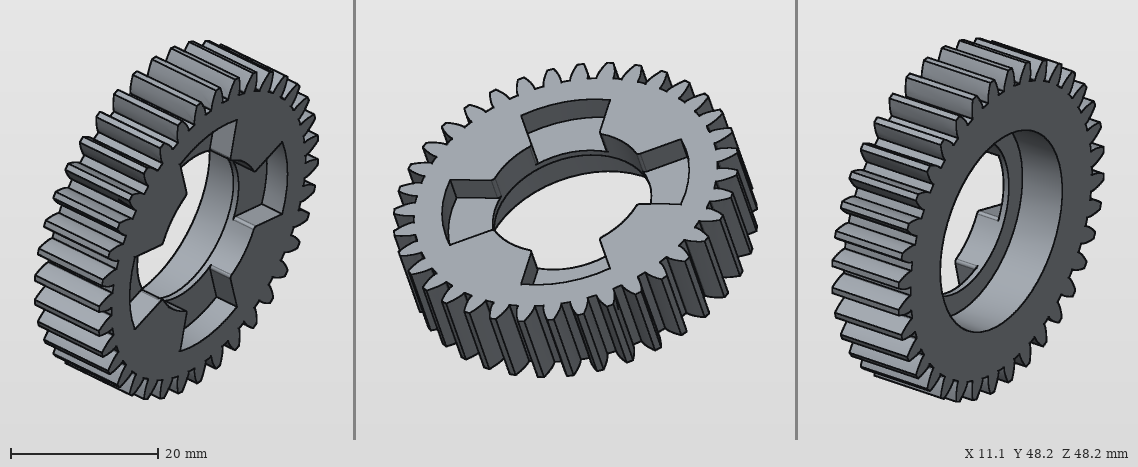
import cadquery as cq
import math

width = 11.1
tooth_count = 36
pitch_radius = 22.85
outside_width = 48.15
root_radius = 21.3
pressure_angle = math.radians(20)
tip_half_angle = math.radians(1.1)
flank_point_count = 6

bore_radius = 11.1
recess_radius = 14.3
recess_depth = 6.65
web_thickness = 0.9

window_count = 4
window_mouth_width = 9.45
window_taper = math.radians(14)
window_outer_radius = 17.35
lug_edge_radius = 0.5

base_radius = pitch_radius * math.cos(pressure_angle)
tooth_pitch = 2 * math.pi / tooth_count
tip_radius = outside_width / 2 / math.cos(tooth_pitch / 2 - tip_half_angle)
left_face = -width / 2
window_floor = left_face + recess_depth + web_thickness
window_depth = width / 2 - window_floor
tolerance = 0.005


def disc(radius, start, length):
    return cq.Workplane("YZ", origin=(start, 0, 0)).circle(radius).extrude(length)


def polar(radius, angle):
    return (radius * math.cos(angle), radius * math.sin(angle))


def involute(radius):
    """Angle an involute has swept when it reaches the radius; zero inside the base circle."""
    slope = math.acos(min(1.0, base_radius / radius))
    return math.tan(slope) - slope


def tooth_half_angle(radius):
    """Half of the angle a tooth spans at the radius; flanks are radial inside the base circle."""
    return tip_half_angle + involute(tip_radius) - involute(radius)


def make_gear_blank():
    flank_step = (tip_radius - base_radius) / (flank_point_count - 1)
    flank_radii = [base_radius + i * flank_step for i in range(flank_point_count)]
    root_half_angle = tooth_half_angle(root_radius)

    outline = cq.Workplane("YZ", origin=(left_face, 0, 0))
    outline = outline.moveTo(*polar(root_radius, tooth_pitch / 2 - root_half_angle))
    for tooth in range(tooth_count):
        middle = (tooth + 0.5) * tooth_pitch
        rising = [polar(r, middle - tooth_half_angle(r)) for r in flank_radii]
        falling = [polar(r, middle + tooth_half_angle(r)) for r in reversed(flank_radii)]
        gap_middle = polar(root_radius, middle + tooth_pitch / 2)
        next_tooth = polar(root_radius, middle + tooth_pitch - root_half_angle)
        outline = (
            outline.lineTo(*rising[0])
            .spline(rising[1:], includeCurrent=True)
            .threePointArc(polar(tip_radius, middle), falling[0])
            .spline(falling[1:], includeCurrent=True)
            .lineTo(*polar(root_radius, middle + root_half_angle))
            .threePointArc(gap_middle, next_tooth)
        )
    return outline.close().extrude(width)


def make_bore():
    return disc(bore_radius, left_face, width).union(disc(recess_radius, left_face, recess_depth))


def make_window(angle):
    """Flaring pocket from the bore outwards, ending on an arc about the gear axis."""
    mouth_half_width = window_mouth_width / 2
    mouth_reach = math.sqrt(bore_radius**2 - mouth_half_width**2)
    flare = (window_outer_radius - mouth_reach) * math.tan(window_taper)
    outer_half_width = mouth_half_width + flare
    wedge = (
        cq.Workplane("YZ", origin=(window_floor, 0, 0))
        .moveTo(0, -mouth_half_width)
        .lineTo(mouth_reach, -mouth_half_width)
        .lineTo(window_outer_radius, -outer_half_width)
        .lineTo(window_outer_radius, outer_half_width)
        .lineTo(mouth_reach, mouth_half_width)
        .lineTo(0, mouth_half_width)
        .close()
        .extrude(window_depth)
    )
    window = wedge.intersect(disc(window_outer_radius, window_floor, window_depth))
    return window.rotate((0, 0, 0), (1, 0, 0), angle)


def is_lug_edge(edge):
    """True for the edges where the window side walls meet the bore."""
    middle = edge.Center()
    on_bore = abs(math.hypot(middle.y, middle.z) - bore_radius) < tolerance
    return on_bore and middle.x > window_floor


gear = make_gear_blank().cut(make_bore())
for window_index in range(window_count):
    gear = gear.cut(make_window(window_index * 360 / window_count))

result = gear.edges("|X").filter(is_lug_edge).fillet(lug_edge_radius)